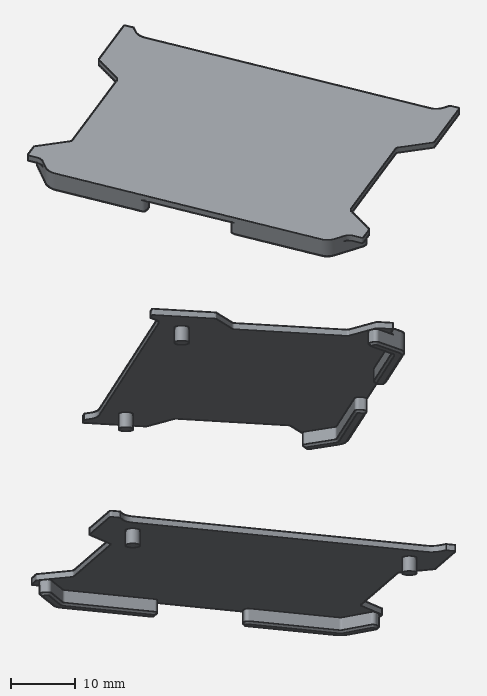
import cadquery as cq
import math

length = 56.5
width = 40.85
height = 3.45
half_length = length / 2
front_y = -width / 2
rear_y = width / 2
bottom_z = -height / 2
top_z = height / 2

plate_thickness = 1.0
waist_half_length = 23.45
front_taper_outer_y = front_y + 5.4
front_taper_inner_y = front_y + 9.05
taper_rise = front_taper_inner_y - front_taper_outer_y
rear_taper_outer_y = rear_y - 10.05
rear_taper_inner_y = rear_taper_outer_y - taper_rise
front_ear_y = front_y + 2.8
rear_edge_y = rear_y - 1.8
front_corner_x = 23.6
rear_corner_x = 25.2

slant_angle = math.radians(51.5)
slant_run = 1 / math.tan(slant_angle)

front_corner_radius = 2.5
front_ear_radius = 1.5
waist_radius = 0.5
ear_tip_radius = 0.3

foot_height = height - plate_thickness
wall_thickness = 1.9
wall_inner_x = 7.1
slanted_wall_length = 7.0
wall_end_radius = 0.6
wall_chamfer = 0.4
peg_diameter = 2.25
peg_x = 22.6
peg_y = rear_y - 5.75


def both_sides(solid):
    """Join a solid with its mirror image across the YZ plane."""
    return solid.union(solid.mirror("YZ"))


def round_corners(solid, corners, radius):
    """Fillet the vertical edges that stand at the given XY corners."""
    for x, y in corners:
        edge = cq.selectors.NearestToPointSelector((x, y, solid.val().Center().z))
        solid = solid.edges("|Z").edges(edge).fillet(radius)
    return solid


def make_plate():
    front_corner = (front_corner_x, front_y)
    front_ear_root = (front_corner_x + (front_ear_y - front_y) * slant_run, front_ear_y)
    rear_corner = (rear_corner_x, rear_edge_y)
    rear_ear_end = (rear_corner_x + (rear_y - rear_edge_y) * slant_run, rear_y)
    waist_corners = [
        (waist_half_length, front_taper_inner_y),
        (waist_half_length, rear_taper_inner_y),
    ]
    front_ear_tips = [(half_length, front_ear_y), (half_length, front_taper_outer_y)]
    rear_ear_tips = [(half_length, rear_taper_outer_y), (half_length, rear_y)]
    right_side = [
        front_corner,
        front_ear_root,
        *front_ear_tips,
        *waist_corners,
        *rear_ear_tips,
        rear_ear_end,
        rear_corner,
    ]
    left_side = [(-x, y) for x, y in reversed(right_side)]
    plate = (
        cq.Workplane("XY", origin=(0, 0, top_z - plate_thickness))
        .polyline(right_side + left_side)
        .close()
        .extrude(plate_thickness)
    )
    roundings = [
        ([front_corner, rear_corner], front_corner_radius),
        ([front_ear_root], front_ear_radius),
        (waist_corners, waist_radius),
        (front_ear_tips + rear_ear_tips, ear_tip_radius),
    ]
    for corners, radius in roundings:
        mirrored_corners = [(-x, y) for x, y in corners]
        plate = round_corners(plate, corners + mirrored_corners, radius)
    return plate


def make_wall():
    """Bent wall that follows the front edge and the slanted end on the +X side."""
    slant_x = math.cos(slant_angle)
    slant_y = math.sin(slant_angle)
    outer_bend = (front_corner_x, front_y)
    outer_tip = (
        front_corner_x + slanted_wall_length * slant_x,
        front_y + slanted_wall_length * slant_y,
    )
    inner_tip = (
        outer_tip[0] - wall_thickness * slant_y,
        outer_tip[1] + wall_thickness * slant_x,
    )
    inner_bend = (
        front_corner_x - wall_thickness * math.tan(slant_angle / 2),
        front_y + wall_thickness,
    )
    outer_end = (wall_inner_x, front_y)
    inner_end = (wall_inner_x, front_y + wall_thickness)
    wall = (
        cq.Workplane("XY", origin=(0, 0, bottom_z))
        .polyline([outer_end, outer_bend, outer_tip, inner_tip, inner_bend, inner_end])
        .close()
        .extrude(foot_height)
    )
    wall = round_corners(wall, [outer_bend], front_corner_radius)
    wall = round_corners(wall, [inner_bend], front_corner_radius - wall_thickness)
    wall = round_corners(wall, [outer_end, outer_tip, inner_tip, inner_end], wall_end_radius)
    return wall.faces("<Z").chamfer(wall_chamfer)


def make_peg():
    return (
        cq.Workplane("XY", origin=(peg_x, peg_y, bottom_z))
        .circle(peg_diameter / 2)
        .extrude(foot_height)
    )


result = make_plate().union(both_sides(make_wall())).union(both_sides(make_peg()))